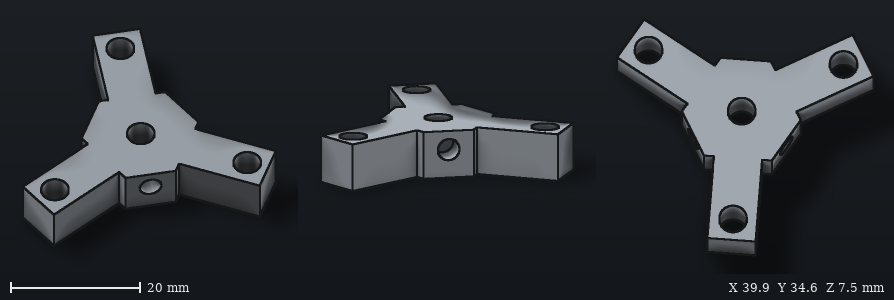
import cadquery as cq
import math

overall_width = 39.9
thickness = 7.5
arm_width = 7.5
arm_angles = (30, 150, 270)
hub_face_angles = (90, 210, 330)

arm_reach = (overall_width / 2 - arm_width / 4) / math.cos(math.radians(30))
arm_side_distance = 7.62
hub_face_distance = 8.4

bore_diameter = 4.27
arm_hole_distance = 17.5
side_hole_diameter = 3.4
side_hole_height = 4.5
side_hole_depth = 5.0


def polar(distance, angle):
    """Point at a distance from the centre, at an angle from +X in degrees."""
    return (distance * math.cos(math.radians(angle)), distance * math.sin(math.radians(angle)))


def make_hub():
    """Hexagon whose sides lie alternately at two distances from the centre."""
    half_side = (arm_side_distance - hub_face_distance / 2) / math.cos(math.radians(30))
    corner_distance = math.hypot(hub_face_distance, half_side)
    corner_angle = math.degrees(math.atan2(half_side, hub_face_distance))
    corners = []
    for angle in hub_face_angles:
        corners.append(polar(corner_distance, angle - corner_angle))
        corners.append(polar(corner_distance, angle + corner_angle))
    return cq.Workplane("XY").polyline(corners).close().extrude(thickness)


def make_arm(angle):
    """Straight square arm from the centre outwards."""
    arm = cq.Workplane("XY").box(arm_reach, arm_width, thickness, centered=(False, True, False))
    return arm.rotate((0, 0, 0), (0, 0, 1), angle)


def make_side_hole(angle):
    """Blind radial cylinder from a hub face towards the central bore."""
    hole = (
        cq.Workplane("YZ", origin=(hub_face_distance, 0, 0))
        .center(0, side_hole_height)
        .circle(side_hole_diameter / 2)
        .extrude(-side_hole_depth)
    )
    return hole.rotate((0, 0, 0), (0, 0, 1), angle)


result = make_hub()
for angle in arm_angles:
    result = result.union(make_arm(angle))

bore_centres = [(0, 0)] + [polar(arm_hole_distance, angle) for angle in arm_angles]
bores = cq.Workplane("XY").pushPoints(bore_centres).circle(bore_diameter / 2).extrude(thickness)
result = result.cut(bores)

for angle in hub_face_angles:
    result = result.cut(make_side_hole(angle))